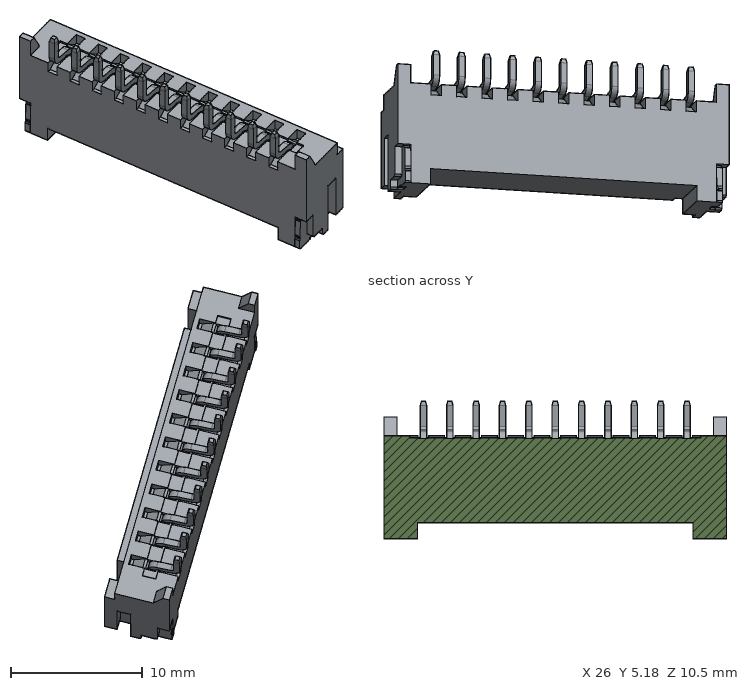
import cadquery as cq
import math

LENGTH = 26.0
BACK_Y = 5.1
SHOULDER_Y = 4.3
TOP_Z = 7.83
LEDGE_Z = 6.65
EAR_Z = 9.25
EAR_WIDTH = 1.0
EAR_TOP_DEPTH = 0.5
EAR_BASE_DEPTH = 1.27

FOOT_LENGTH = 2.55
FOOT_HEIGHT = 1.2
POST_LENGTH = 1.55
REAR_BLOCK_X = 3.15
REAR_BLOCK_Y = 4.95

END_POCKET_DEPTH = 1.0
END_POCKET_Y0 = 3.04
END_POCKET_Y1 = 4.1
END_POCKET_TOP = 4.4
POST_BOTTOM_Z = 0.7

RELIEF_WIDTH = 0.55
RELIEF_Y = 0.94
RELIEF_TOP = 3.0
RELIEF_LOW_Y = 2.22
RELIEF_LOW_TOP = 0.7
RELIEF_CHAMFER = 0.15
TAB_PROUD = 0.08
TAB_EDGE = EAR_WIDTH
TAB_THICKNESS = 0.42
TAB_FOOT_BEVEL = 0.12
TAB_FOOT_TOP = 0.88
TAB_GROOVE_Z0 = 0.98
TAB_GROOVE_Z1 = 1.1
TAB_FACE_Z0 = 1.28
TAB_FACE_Z1 = 2.72
TAB_LEAN = 0.035
TAB_TOP_FRONT_Y = 0.08
TAB_TOP_FRONT_Z = 2.78
TAB_TOP_BACK_Y = 0.3
TAB_TOP_BACK_Z = 2.84
TAB_NOTCH_Y0 = 1.4
TAB_NOTCH_Y1 = 2.15
TAB_NOTCH_HEIGHT = 0.13

PIN_COUNT = 11
PITCH = 2.0
FIRST_PIN_X = (LENGTH - PITCH * (PIN_COUNT - 1)) / 2
PIN_SIZE = 0.5
PIN_TOP_Z = 10.45
PIN_FRONT_Y = -TAB_PROUD
PIN_TIP_LENGTH = 0.33
PIN_TIP_INSET = 0.09
PIN_TAIL_FRONT_Y = 1.93
PIN_TAIL_Z = 6.5
ARM_TOP_Z = 8.35
ARM_SLOPE = math.radians(6)
BEND_INNER_RADIUS = 0.25
BEND_OUTER_RADIUS = BEND_INNER_RADIUS + PIN_SIZE

SLOT_WIDTH = 0.8
SLOT_BACK_Y = 3.9
SLOT_FLOOR_Z = 6.97
RIDGE_Z = 7.68
SLOT_FLOOR_FRONT_Y = 0.28
RIDGE_FRONT_Y = 1.47
RIDGE_BACK_Y = 2.8
SLOT_FLOOR_BACK_Y = 3.68
LEAD_IN = 0.15
LEAD_IN_ANGLE = 45

GROOVE_X = 1.97
GROOVE_Y0 = 1.6
GROOVE_Y1 = 2.65


def box(x0, x1, y0, y1, z0, z1):
    return cq.Workplane("XY").box(x1 - x0, y1 - y0, z1 - z0, centered=False).translate((x0, y0, z0))


def extrude_yz(points, x0, x1):
    return cq.Workplane("YZ").polyline(points).close().extrude(x1 - x0).translate((x0, 0, 0))


def both_ends(left):
    """The left-end shape together with its mirror image at the right end."""
    middle = (LENGTH / 2, 0, 0)
    return left.union(left.mirror("YZ", middle))


def housing_body():
    body = box(0, LENGTH, 0, SHOULDER_Y, 0, TOP_Z)
    body = body.union(box(REAR_BLOCK_X, LENGTH - REAR_BLOCK_X, 0, REAR_BLOCK_Y, 0, LEDGE_Z))
    body = body.union(both_ends(box(0, POST_LENGTH, 0, BACK_Y, 0, LEDGE_Z)))
    body = body.cut(box(FOOT_LENGTH, LENGTH - FOOT_LENGTH, 0, BACK_Y, 0, FOOT_HEIGHT))
    ear = extrude_yz(
        [(0, TOP_Z), (EAR_BASE_DEPTH, TOP_Z), (EAR_TOP_DEPTH, EAR_Z), (0, EAR_Z)], 0, EAR_WIDTH
    )
    return body.union(both_ends(ear))


def end_pockets():
    pocket = box(0, END_POCKET_DEPTH, END_POCKET_Y0, END_POCKET_Y1, 0, END_POCKET_TOP)
    return both_ends(pocket.union(box(0, END_POCKET_DEPTH, END_POCKET_Y0, BACK_Y, 0, POST_BOTTOM_Z)))


def corner_reliefs():
    relief = extrude_yz(
        [
            (0, 0),
            (RELIEF_LOW_Y + RELIEF_CHAMFER, 0),
            (RELIEF_LOW_Y, RELIEF_CHAMFER),
            (RELIEF_LOW_Y, RELIEF_LOW_TOP),
            (RELIEF_Y + RELIEF_CHAMFER, RELIEF_LOW_TOP),
            (RELIEF_Y, RELIEF_LOW_TOP + RELIEF_CHAMFER),
            (RELIEF_Y, RELIEF_TOP),
            (0, RELIEF_TOP),
        ],
        0,
        RELIEF_WIDTH,
    )
    notch = box(0, TAB_EDGE, TAB_NOTCH_Y0, TAB_NOTCH_Y1, 0, TAB_NOTCH_HEIGHT)
    return both_ends(relief.union(notch))


def slot_cutter(x):
    """A slot whose floor rises to a flat ridge, with a tapered mouth around the pin."""
    profile = [
        (0, SLOT_FLOOR_Z),
        (SLOT_FLOOR_FRONT_Y, SLOT_FLOOR_Z),
        (RIDGE_FRONT_Y, RIDGE_Z),
        (RIDGE_BACK_Y, RIDGE_Z),
        (SLOT_FLOOR_BACK_Y, SLOT_FLOOR_Z),
        (SLOT_BACK_Y, SLOT_FLOOR_Z),
        (SLOT_BACK_Y, TOP_Z),
        (0, TOP_Z),
    ]
    slot = extrude_yz(profile, x - SLOT_WIDTH / 2, x + SLOT_WIDTH / 2)
    mouth_size = PIN_SIZE + 2 * LEAD_IN
    mouth = (
        cq.Workplane("XY", origin=(x, PIN_TAIL_FRONT_Y + PIN_SIZE / 2, RIDGE_Z))
        .rect(mouth_size, mouth_size)
        .extrude(-LEAD_IN, taper=LEAD_IN_ANGLE)
    )
    return slot.union(mouth)


def pin(x):
    """A square pin: buried tail, bend, arm rising gently forwards, bend, upright tip."""
    front, back = PIN_FRONT_Y, PIN_FRONT_Y + PIN_SIZE
    tail_front, tail_back = PIN_TAIL_FRONT_Y, PIN_TAIL_FRONT_Y + PIN_SIZE
    slope, cos_slope = math.tan(ARM_SLOPE), math.cos(ARM_SLOPE)

    tail_bend_y = tail_back - BEND_OUTER_RADIUS
    tail_bend_z = ARM_TOP_Z - slope * tail_bend_y - BEND_OUTER_RADIUS / cos_slope
    tip_bend_y = back + BEND_INNER_RADIUS
    tip_bend_z = ARM_TOP_Z - slope * tip_bend_y + BEND_INNER_RADIUS / cos_slope

    def on_bend(centre_y, centre_z, radius, angle):
        return (centre_y + radius * math.cos(angle), centre_z + radius * math.sin(angle))

    arm_up = math.pi / 2 - ARM_SLOPE
    arm_down = arm_up - math.pi
    tail_middle = arm_up / 2
    tip_middle = (arm_down - math.pi) / 2

    def tail_point(radius, angle):
        return on_bend(tail_bend_y, tail_bend_z, radius, angle)

    def tip_point(radius, angle):
        return on_bend(tip_bend_y, tip_bend_z, radius, angle)

    bar_top = PIN_TOP_Z - PIN_TIP_LENGTH
    bar = (
        cq.Workplane("YZ")
        .moveTo(tail_front, PIN_TAIL_Z)
        .lineTo(tail_back, PIN_TAIL_Z)
        .lineTo(tail_back, tail_bend_z)
        .threePointArc(tail_point(BEND_OUTER_RADIUS, tail_middle), tail_point(BEND_OUTER_RADIUS, arm_up))
        .lineTo(*tip_point(BEND_INNER_RADIUS, arm_down))
        .threePointArc(tip_point(BEND_INNER_RADIUS, tip_middle), (back, tip_bend_z))
        .lineTo(back, bar_top)
        .lineTo(front, bar_top)
        .lineTo(front, tip_bend_z)
        .threePointArc(tip_point(BEND_OUTER_RADIUS, tip_middle), tip_point(BEND_OUTER_RADIUS, arm_down))
        .lineTo(*tail_point(BEND_INNER_RADIUS, arm_up))
        .threePointArc(tail_point(BEND_INNER_RADIUS, tail_middle), (tail_front, tail_bend_z))
        .close()
        .extrude(PIN_SIZE)
        .translate((x - PIN_SIZE / 2, 0, 0))
    )
    tip_size = PIN_SIZE - 2 * PIN_TIP_INSET
    tip = (
        cq.Workplane("XY", origin=(x, front + PIN_SIZE / 2, bar_top))
        .rect(PIN_SIZE, PIN_SIZE)
        .workplane(offset=PIN_TIP_LENGTH)
        .rect(tip_size, tip_size)
        .loft()
    )
    return bar.union(tip)


def solder_tab():
    """A tab at the left corner: beveled top, leaning face, shallow groove, then the proud foot."""
    profile = [
        (TAB_THICKNESS, 0),
        (0, 0),
        (-TAB_PROUD, TAB_FOOT_BEVEL),
        (-TAB_PROUD, TAB_FOOT_TOP),
        (0, TAB_GROOVE_Z0),
        (TAB_LEAN / 2, TAB_GROOVE_Z1),
        (-TAB_LEAN, TAB_FACE_Z0),
        (TAB_LEAN, TAB_FACE_Z1),
        (TAB_TOP_FRONT_Y, TAB_TOP_FRONT_Z),
        (TAB_TOP_BACK_Y, TAB_TOP_BACK_Z),
        (TAB_THICKNESS, RELIEF_TOP),
    ]
    return extrude_yz(profile, RELIEF_WIDTH, TAB_EDGE)


def tab_seat():
    return box(RELIEF_WIDTH, TAB_EDGE, 0, TAB_THICKNESS, 0, RELIEF_TOP)


def pin_groove():
    return box(GROOVE_X, LENGTH - GROOVE_X, GROOVE_Y0, GROOVE_Y1, RIDGE_Z, TOP_Z)


result = housing_body().cut(end_pockets()).cut(pin_groove())
result = result.cut(both_ends(tab_seat())).union(both_ends(solder_tab())).cut(corner_reliefs())

pin_positions = [FIRST_PIN_X + PITCH * i for i in range(PIN_COUNT)]
for x in pin_positions:
    result = result.cut(slot_cutter(x))
for x in pin_positions:
    result = result.union(pin(x))